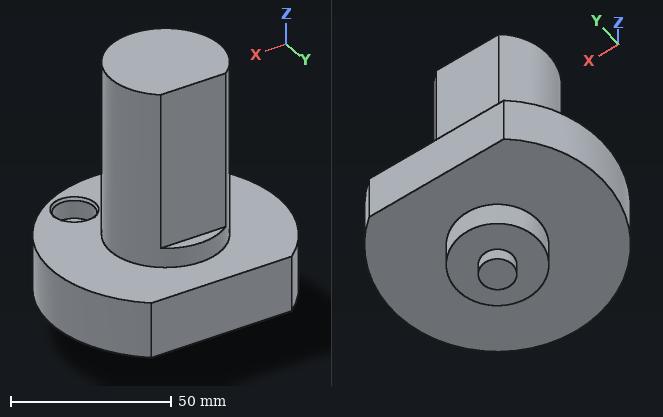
import cadquery as cq
import math

flange_diameter = 83.0
flange_thickness = 20.0
flange_flat_y = 32.4

shank_diameter = 40.0
shank_length = 63.0
shank_flat_y = 16.0
shank_flat_start = 7.0

spigot_diameter = 32.0
spigot_length = 10.0
pin_diameter = 12.0
pin_length = 5.0

hole_pitch_radius = 32.0
hole_angle = math.radians(-60.0)
hole_x = hole_pitch_radius * math.cos(hole_angle)
hole_y = hole_pitch_radius * math.sin(hole_angle)
hole_diameter = 14.0
hole_depth = 7.5
countersink_depth = 1.0
countersink_half_angle = 30.0


def cylinder(diameter, base_z, height):
    """Upright cylinder on the main axis."""
    return cq.Workplane("XY").workplane(offset=base_z).circle(diameter / 2).extrude(height)


def cut_flat(body, flat_y, base_z, height, diameter):
    """Remove the +Y side of a cylinder beyond flat_y, from base_z upward."""
    cutter = (
        cq.Workplane("XY")
        .box(diameter, diameter, height, centered=(True, False, False))
        .translate((0, flat_y, base_z))
    )
    return body.cut(cutter)


def make_flange():
    disc = cylinder(flange_diameter, 0, flange_thickness)
    return cut_flat(disc, flange_flat_y, 0, flange_thickness, flange_diameter)


def make_shank():
    shank = cylinder(shank_diameter, flange_thickness, shank_length)
    flat_base_z = flange_thickness + shank_flat_start
    flat_length = shank_length - shank_flat_start
    return cut_flat(shank, shank_flat_y, flat_base_z, flat_length, shank_diameter)


def make_hole_cutter():
    """Flat-bottomed hole with a countersunk mouth, revolved about its own axis."""
    hole_radius = hole_diameter / 2
    mouth_radius = hole_radius + countersink_depth * math.tan(math.radians(countersink_half_angle))
    profile = (
        cq.Workplane("XZ")
        .moveTo(0, 0)
        .lineTo(mouth_radius, 0)
        .lineTo(hole_radius, -countersink_depth)
        .lineTo(hole_radius, -hole_depth)
        .lineTo(0, -hole_depth)
        .close()
    )
    cutter = profile.revolve(360, (0, 0, 0), (0, 1, 0))
    return cutter.translate((hole_x, hole_y, flange_thickness))


spigot = cylinder(spigot_diameter, -spigot_length, spigot_length)
pin = cylinder(pin_diameter, -spigot_length - pin_length, pin_length)

result = make_flange().union(make_shank()).union(spigot).union(pin).cut(make_hole_cutter())